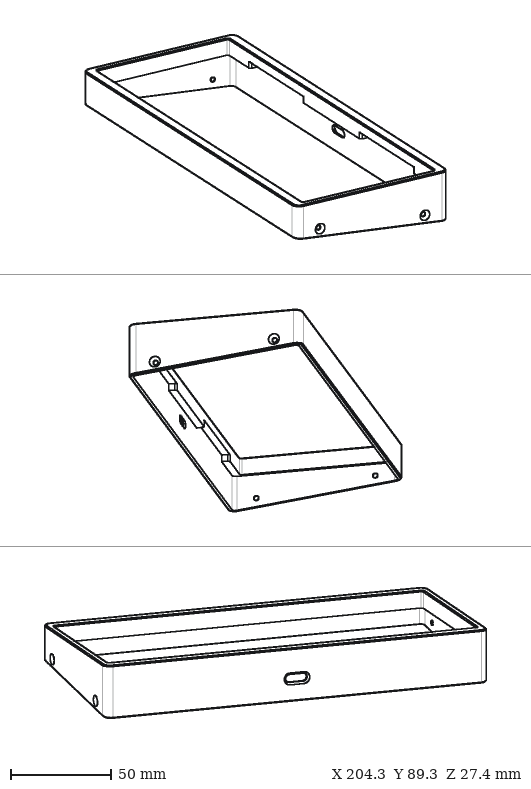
import cadquery as cq
import math

LENGTH = 204.3
WIDTH = 89.3
FRONT_HEIGHT = 18.2
BACK_HEIGHT = 27.4
CORNER_RADIUS = 4.0
EDGE_CHAMFER = 0.6
CHAMFER_ANGLE = 45.0

RIM_SIDE_WALL = 3.9
RIM_END_WALL = 6.1
RIM_CORNER_RADIUS = 1.0
RIM_DEPTH = 9.0

WALL = 2.0
CAVITY_LENGTH = LENGTH - 2 * WALL
CAVITY_WIDTH = WIDTH - 2 * WALL
CAVITY_RADIUS = CORNER_RADIUS - WALL

NOTCH_INNER_X = 27.8
NOTCH_OUTER_X = 77.6
NOTCH_HEIGHT = 3.5
NOTCH_CHAMFER = 1.0

SLOT_LENGTH = 11.5
SLOT_HEIGHT = 4.0
SLOT_CENTRE_Z = -15.7
SLOT_CHAMFER = 1.0

HOLE_DIAMETER = 2.5
SINK_DIAMETER = 5.5
SINK_ANGLE = 90.0
HOLE_SPACING = 61.3
HOLE_MEAN_Z = -18.2

SLOPE = (BACK_HEIGHT - FRONT_HEIGHT) / (WIDTH - EDGE_CHAMFER)


def round_block(length, width, z_low, z_high, radius):
    """Upright round-cornered block centred on the Z axis."""
    base = cq.Workplane("XY", origin=(0, 0, z_low)).rect(length, width)
    return base.extrude(z_high - z_low).edges("|Z").fillet(radius)


def outer_body():
    """Round-cornered block whose underside falls towards the back."""
    sharp_back_height = FRONT_HEIGHT + SLOPE * WIDTH
    side_profile = [
        (-WIDTH / 2, 0),
        (WIDTH / 2, 0),
        (WIDTH / 2, -sharp_back_height),
        (-WIDTH / 2, -FRONT_HEIGHT),
    ]
    body = cq.Workplane("YZ").polyline(side_profile).close().extrude(LENGTH / 2, both=True)
    body = body.edges("|Z").fillet(CORNER_RADIUS)
    return body.faces("<Z or >Z").chamfer(EDGE_CHAMFER)


def rim_opening():
    """Opening through the rim, flared to leave a chamfer around its top edge."""
    length = LENGTH - 2 * RIM_SIDE_WALL
    width = WIDTH - 2 * RIM_END_WALL
    opening = round_block(length, width, -RIM_DEPTH, 0, RIM_CORNER_RADIUS)
    flare = (
        cq.Workplane("XY")
        .sketch()
        .rect(length + 2 * EDGE_CHAMFER, width + 2 * EDGE_CHAMFER)
        .vertices()
        .fillet(RIM_CORNER_RADIUS + EDGE_CHAMFER)
        .finalize()
        .extrude(-EDGE_CHAMFER, taper=CHAMFER_ANGLE)
    )
    return opening.union(flare)


def cavity():
    """Space inside the walls, cut right through the underside."""
    return round_block(CAVITY_LENGTH, CAVITY_WIDTH, -BACK_HEIGHT, -RIM_DEPTH, CAVITY_RADIUS)


def rim_notch(side):
    """Notch under the back rim, on the +X or -X side, splayed where it meets the rim's inner face."""
    rim_face_y = WIDTH / 2 - RIM_END_WALL
    plan = [
        (NOTCH_INNER_X - NOTCH_CHAMFER, rim_face_y),
        (NOTCH_OUTER_X + NOTCH_CHAMFER, rim_face_y),
        (NOTCH_OUTER_X, rim_face_y + NOTCH_CHAMFER),
        (NOTCH_OUTER_X, CAVITY_WIDTH / 2),
        (NOTCH_INNER_X, CAVITY_WIDTH / 2),
        (NOTCH_INNER_X, rim_face_y + NOTCH_CHAMFER),
    ]
    sided_plan = [(side * x, y) for x, y in plan]
    return cq.Workplane("XY", origin=(0, 0, -RIM_DEPTH)).polyline(sided_plan).close().extrude(NOTCH_HEIGHT)


def cable_slot():
    """Slot through the back wall, flared to leave a chamfer around its outer edge."""
    outer_face = cq.Workplane("XZ", origin=(0, WIDTH / 2, SLOT_CENTRE_Z))
    slot = outer_face.slot2D(SLOT_LENGTH, SLOT_HEIGHT).extrude(WALL)
    flare = outer_face.slot2D(SLOT_LENGTH + 2 * SLOT_CHAMFER, SLOT_HEIGHT + 2 * SLOT_CHAMFER)
    return slot.union(flare.extrude(SLOT_CHAMFER, taper=CHAMFER_ANGLE))


def screw_holes(y):
    """Hole through both side walls, with a countersink on each outer face."""
    z = HOLE_MEAN_Z - SLOPE * y
    holes = cq.Workplane("YZ", origin=(0, y, z)).circle(HOLE_DIAMETER / 2).extrude(LENGTH / 2, both=True)
    sink_depth = (SINK_DIAMETER - HOLE_DIAMETER) / 2 / math.tan(math.radians(SINK_ANGLE / 2))
    for side in (-1, 1):
        outer_face_point = cq.Vector(side * LENGTH / 2, y, z)
        inward = cq.Vector(-side, 0, 0)
        sink = cq.Solid.makeCone(SINK_DIAMETER / 2, HOLE_DIAMETER / 2, sink_depth, outer_face_point, inward)
        holes = holes.union(cq.Workplane(sink))
    return holes


result = outer_body().cut(rim_opening()).cut(cavity())
for side in (-1, 1):
    result = result.cut(rim_notch(side))
result = result.cut(cable_slot())
for hole_y in (-HOLE_SPACING / 2, HOLE_SPACING / 2):
    result = result.cut(screw_holes(hole_y))